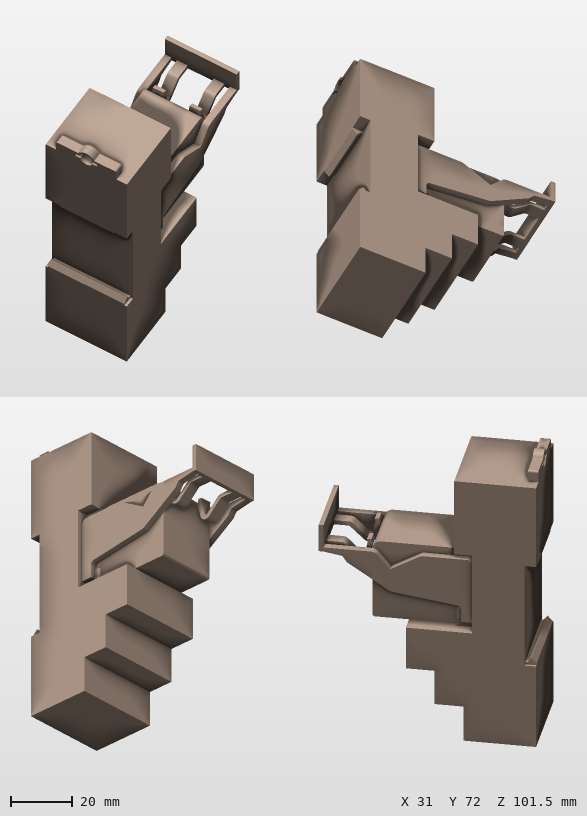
import cadquery as cq
import math


OVERALL_HEIGHT = 101.5
SELECTION_REACH = 0.1

HOUSING_WIDTH = 31.0
HOUSING_TOP = 95.6
HOUSING_FRONT = 27.0
TERRACE_1_FRONT = 42.9
TERRACE_1_TOP = 39.9
TERRACE_1_BOTTOM = 24.9
TERRACE_2_FRONT = 33.4
TERRACE_2_BOTTOM = 12.6
FOOT_FRONT = 23.9

CHANNEL_DEPTH = 3.8
CHANNEL_BOTTOM = 29.7
CHANNEL_TOP = 66.5
HOOK_LIP = 0.9
HOOK_LIP_Y = 2.9
HOOK_TIP_Y = 1.7
HOOK_HEIGHT = 2.5
HOOK_BACK_HEIGHT = 0.6
UPPER_HOOK_WIDTH = 20.1
LOWER_HOOK_WIDTH = 29.0

TAB_WIDTH = 22.9
TAB_THICKNESS = 3.5
TAB_TOP = 99.7
TAB_CORNER_RADIUS = 0.7
EYE_RADIUS = 3.3
EYE_Z = OVERALL_HEIGHT - EYE_RADIUS
EYE_HOLE_RADIUS = 2.4
EYE_BLEND_RADIUS = 0.5
KEY_SLOT_WIDTH = 8.3
KEY_SLOT_HEIGHT = 1.2
KEY_SLOT_Z = 98.0

RECESS_BACK = 21.1
RECESS_TOP = 68.6

LEVER_WIDTH = 27.4
ARM_THICKNESS = 2.5
ARM_INNER_X = LEVER_WIDTH / 2 - ARM_THICKNESS
ARM_TOP = 65.9
ARM_BOTTOM = 42.8
ARM_HEEL_FRONT = 25.1
THUMB_FRONT = 72.0
THUMB_THICKNESS = 1.6
THUMB_BACK = THUMB_FRONT - THUMB_THICKNESS
THUMB_TOP = 74.1
THUMB_BOTTOM = 64.4
CREST_RADIUS = 3.0
HEEL_TOP_RADIUS = 2.0
HEEL_FRONT_RADIUS = 1.5

PIVOT_Y = 24.1
PIVOT_Z = 62.0
PIVOT_RADIUS = 1.1

CATCH_TOP = 46.6
CATCH_HEIGHT = 0.5
CATCH_RAMP_LENGTH = 0.9

FINGER_WIDTH = 4.1
FINGER_CENTER_X = 7.0
FINGER_THICKNESS = 1.5
FINGER_BEND_RADIUS = 2.5
FINGER_HEEL_RADIUS = 0.9

RELAY_WIDTH = 21.7
RELAY_FRONT = 54.8
RELAY_BOTTOM = 40.5
RELAY_TOP = 68.4
RELAY_TOP_RADIUS = 3.0
RELAY_BOTTOM_RADIUS = 0.8


def side_profile(points, width, center_x=0.0):
    """Extrude a closed (Y, Z) outline along X, centred on center_x."""
    plane = cq.Workplane("YZ", origin=(center_x - width / 2, 0, 0))
    return plane.polyline(points).close().extrude(width)


def block(x_range, y_range, z_range):
    """Axis-aligned box between the given limits."""
    sizes = [high - low for low, high in (x_range, y_range, z_range)]
    corner = (x_range[0], y_range[0], z_range[0])
    return cq.Workplane("XY").box(*sizes, centered=False).translate(corner)


def round_corner(body, point, radius):
    """Round the edges parallel to X that pass through the (Y, Z) point."""
    y, z = point
    low = (-HOUSING_WIDTH, y - SELECTION_REACH, z - SELECTION_REACH)
    high = (HOUSING_WIDTH, y + SELECTION_REACH, z + SELECTION_REACH)
    return body.edges("|X").edges(cq.selectors.BoxSelector(low, high)).fillet(radius)


def make_rail_hook(wall_z, direction, width):
    """Hook on a channel wall, pointing up (+1) or down (-1)."""
    outline = [
        (0, wall_z),
        (CHANNEL_DEPTH, wall_z),
        (CHANNEL_DEPTH, wall_z + direction * HOOK_LIP),
        (HOOK_LIP_Y, wall_z + direction * HOOK_LIP),
        (HOOK_TIP_Y, wall_z + direction * HOOK_HEIGHT),
        (0, wall_z + direction * HOOK_BACK_HEIGHT),
    ]
    return side_profile(outline, width)


def make_mounting_tab():
    """Tab with a round eye breaking out of its top edge and a keyed hole."""
    back = cq.Workplane("XZ")
    tab_height = TAB_TOP - HOUSING_TOP
    tab = back.center(0, HOUSING_TOP + tab_height / 2).rect(TAB_WIDTH, tab_height).extrude(-TAB_THICKNESS)
    tab = tab.edges("|Y and >Z").fillet(TAB_CORNER_RADIUS)
    tab = tab.union(back.center(0, EYE_Z).circle(EYE_RADIUS).extrude(-TAB_THICKNESS))

    eye_foot_x = math.sqrt(EYE_RADIUS ** 2 - (TAB_TOP - EYE_Z) ** 2)
    foot_zone = cq.selectors.BoxSelector(
        (-eye_foot_x - SELECTION_REACH, -SELECTION_REACH, TAB_TOP - SELECTION_REACH),
        (eye_foot_x + SELECTION_REACH, TAB_THICKNESS + SELECTION_REACH, TAB_TOP + SELECTION_REACH),
    )
    tab = tab.edges("|Y").edges(foot_zone).fillet(EYE_BLEND_RADIUS)

    tab = tab.cut(back.center(0, EYE_Z).circle(EYE_HOLE_RADIUS).extrude(-TAB_THICKNESS))
    key_slot = back.center(0, KEY_SLOT_Z).rect(KEY_SLOT_WIDTH, KEY_SLOT_HEIGHT)
    return tab.cut(key_slot.extrude(-TAB_THICKNESS))


def make_pivot_studs():
    """Two studs, one on each side, as long as the arms are thick."""
    studs = cq.Workplane("YZ", origin=(ARM_INNER_X, 0, 0))
    studs = studs.center(PIVOT_Y, PIVOT_Z).circle(PIVOT_RADIUS).extrude(ARM_THICKNESS)
    return studs.union(studs.mirror("YZ"))


def make_catches():
    """Low ramped catches on the floors of the side recesses."""
    outer_x = ARM_INNER_X + CATCH_HEIGHT
    outline = [
        (ARM_INNER_X, ARM_HEEL_FRONT),
        (outer_x, ARM_HEEL_FRONT),
        (outer_x, HOUSING_FRONT - CATCH_RAMP_LENGTH),
        (ARM_INNER_X, HOUSING_FRONT),
    ]
    catch = cq.Workplane("XY", origin=(0, 0, ARM_BOTTOM)).polyline(outline).close()
    catch = catch.extrude(CATCH_TOP - ARM_BOTTOM)
    return catch.union(catch.mirror("YZ"))


def make_housing():
    outline = [
        (0, 0),
        (FOOT_FRONT, 0),
        (FOOT_FRONT, TERRACE_2_BOTTOM),
        (TERRACE_2_FRONT, TERRACE_2_BOTTOM),
        (TERRACE_2_FRONT, TERRACE_1_BOTTOM),
        (TERRACE_1_FRONT, TERRACE_1_BOTTOM),
        (TERRACE_1_FRONT, TERRACE_1_TOP),
        (HOUSING_FRONT, TERRACE_1_TOP),
        (HOUSING_FRONT, HOUSING_TOP),
        (0, HOUSING_TOP),
        (0, CHANNEL_TOP),
        (CHANNEL_DEPTH, CHANNEL_TOP),
        (CHANNEL_DEPTH, CHANNEL_BOTTOM),
        (0, CHANNEL_BOTTOM),
    ]
    housing = side_profile(outline, HOUSING_WIDTH)
    housing = housing.union(make_rail_hook(CHANNEL_TOP, -1, UPPER_HOOK_WIDTH))
    housing = housing.union(make_rail_hook(CHANNEL_BOTTOM, 1, LOWER_HOOK_WIDTH))
    housing = housing.union(make_mounting_tab())

    recess = block(
        (ARM_INNER_X, HOUSING_WIDTH / 2),
        (RECESS_BACK, HOUSING_FRONT),
        (TERRACE_1_TOP, RECESS_TOP),
    )
    housing = housing.cut(recess).cut(recess.mirror("YZ"))
    return housing.union(make_pivot_studs()).union(make_catches())


def make_lever_arms():
    """Side outline of the lever, hollowed out between the two arms."""
    front_crest = (53.4, ARM_TOP)
    rear_crest = (38.2, ARM_TOP)
    valley = (48.4, 60.0)
    heel_top = (RECESS_BACK, ARM_TOP)
    heel_front = (ARM_HEEL_FRONT, 48.6)
    belly = (48.3, 51.8)
    throat = (62.7, 61.2)
    chin = (64.1, 63.3)
    outline = [
        (THUMB_BACK, ARM_TOP),
        front_crest,
        valley,
        rear_crest,
        heel_top,
        (RECESS_BACK, ARM_BOTTOM),
        (ARM_HEEL_FRONT, ARM_BOTTOM),
        heel_front,
        belly,
        throat,
        chin,
        (THUMB_BACK, THUMB_BOTTOM),
    ]
    arms = side_profile(outline, LEVER_WIDTH)
    rounded_corners = [
        (front_crest, CREST_RADIUS),
        (rear_crest, CREST_RADIUS),
        (heel_top, HEEL_TOP_RADIUS),
        (heel_front, HEEL_FRONT_RADIUS),
        (belly, CREST_RADIUS),
        (throat, CREST_RADIUS),
    ]
    for corner, radius in rounded_corners:
        arms = round_corner(arms, corner, radius)
    gap = block(
        (-ARM_INNER_X, ARM_INNER_X),
        (RECESS_BACK, THUMB_BACK),
        (ARM_BOTTOM, ARM_TOP),
    )
    return arms.cut(gap)


def make_spring_finger(center_x):
    """Bent strip that runs back from the thumb plate, down and up again."""
    upper_bend = (64.6, ARM_TOP)
    lower_bend = (65.3, ARM_TOP - FINGER_THICKNESS)
    inner_heel = (58.3, 59.9)
    outer_heel = (57.3, 56.9)
    outline = [
        (THUMB_BACK, ARM_TOP),
        upper_bend,
        inner_heel,
        (56.6, 66.9),
        (56.9, 67.7),
        (55.4, 68.0),
        (55.0, 66.2),
        outer_heel,
        lower_bend,
        (THUMB_BACK, ARM_TOP - FINGER_THICKNESS),
    ]
    finger = side_profile(outline, FINGER_WIDTH, center_x)
    rounded_corners = [
        (upper_bend, FINGER_BEND_RADIUS),
        (lower_bend, FINGER_BEND_RADIUS - FINGER_THICKNESS),
        (inner_heel, FINGER_HEEL_RADIUS),
        (outer_heel, FINGER_HEEL_RADIUS + FINGER_THICKNESS),
    ]
    for corner, radius in rounded_corners:
        finger = round_corner(finger, corner, radius)
    return finger


def make_lever():
    thumb_plate = block(
        (-LEVER_WIDTH / 2, LEVER_WIDTH / 2),
        (THUMB_BACK, THUMB_FRONT),
        (THUMB_BOTTOM, THUMB_TOP),
    )
    lever = make_lever_arms().union(thumb_plate)
    for center_x in (-FINGER_CENTER_X, FINGER_CENTER_X):
        lever = lever.union(make_spring_finger(center_x))
    return lever.cut(make_pivot_studs())


def make_relay():
    relay = block(
        (-RELAY_WIDTH / 2, RELAY_WIDTH / 2),
        (HOUSING_FRONT, RELAY_FRONT),
        (RELAY_BOTTOM, RELAY_TOP),
    )
    relay = round_corner(relay, (RELAY_FRONT, RELAY_TOP), RELAY_TOP_RADIUS)
    return round_corner(relay, (RELAY_FRONT, RELAY_BOTTOM), RELAY_BOTTOM_RADIUS)


housing = make_housing()
lever = make_lever()
relay = make_relay()
result = cq.Compound.makeCompound([housing.val(), lever.val(), relay.val()])